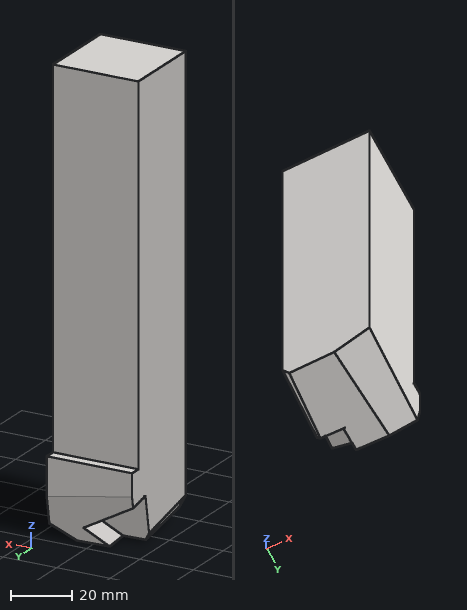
import cadquery as cq
import math

shank_width = 32.0
total_length = 164.47

head_depth = 36.2
head_top = 28.7

nose = (6.2, 33.3, 0.0)

end_relief = 7.3
right_flank_tilt = 26.0
right_relief = 8.9
left_flank_tilt = -62.0
left_relief = 5.6
left_flank_height = 9.0

rake_angle = 10.0
side_rake_angle = 1.8
seat_depth = 8.4

pocket_roof_height = 16.3
tooth_root_height = 5.4
tooth_root_width = 2.9
tooth_end_width = 12.0

half_width = shank_width / 2
cutter_size = 4 * head_depth
rake_direction = (
    -math.tan(math.radians(side_rake_angle)),
    1.0,
    -math.tan(math.radians(rake_angle)),
)


def half_space(point, outward):
    """Large block lying on the outward side of a plane through point."""
    plane = cq.Plane(origin=point, normal=outward)
    return cq.Workplane(plane).rect(cutter_size, cutter_size).extrude(cutter_size)


def flank_direction(tilt, relief):
    """Outward direction of a flank tilted about Y and relieved towards the front side."""
    tilt_rad = math.radians(tilt)
    return (math.sin(tilt_rad), -math.tan(math.radians(relief)), -math.cos(tilt_rad))


def make_blank():
    """Shank with the full-width raised head at its lower end."""
    shank = cq.Workplane("XY").box(
        shank_width, shank_width, total_length, centered=(True, False, False)
    )
    head = cq.Workplane("XY").box(
        shank_width, head_depth, head_top, centered=(True, False, False)
    )
    return shank.union(head)


def make_pocket():
    """Cutter open to the left side and the end, standing on the seat behind the rake face."""
    nose_plane = cq.Plane(origin=nose, xDir=(-1, 0, 0), normal=rake_direction)
    seat = cq.Workplane(nose_plane).workplane(offset=-seat_depth)
    overrun = shank_width / 4
    side_width = nose[0] + half_width
    roof_slope = (pocket_roof_height - tooth_root_height) / (side_width - tooth_root_width)
    tooth_side_slope = (tooth_end_width - tooth_root_width) / tooth_root_height
    outline = [
        (tooth_root_width, tooth_root_height),
        (side_width + overrun, pocket_roof_height + roof_slope * overrun),
        (side_width + overrun, -overrun),
        (tooth_end_width + tooth_side_slope * overrun, -overrun),
    ]
    return seat.polyline(outline).close().extrude(2 * seat_depth)


left_flank_start = (-half_width, 0.0, left_flank_height)

result = (
    make_blank()
    .cut(half_space(nose, flank_direction(0.0, end_relief)))
    .cut(half_space(nose, flank_direction(right_flank_tilt, right_relief)))
    .cut(half_space(left_flank_start, flank_direction(left_flank_tilt, left_relief)))
    .cut(half_space(nose, rake_direction))
    .cut(make_pocket())
)